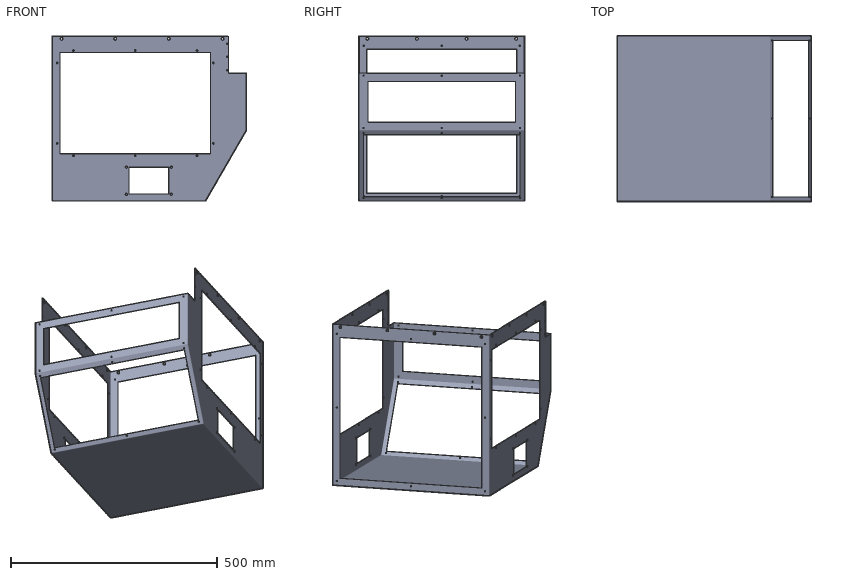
import cadquery as cq
import math

LENGTH = 471.5
WIDTH = 403.0
HEIGHT = 400.0

SHEET = 1.5
BEND_RADIUS = 2.25

REAR_HEIGHT = 310.2
REAR_FOLD_HEIGHT = 171.0
FLOOR_LENGTH = 372.5
NOTCH_LENGTH = 43.5
CORNER_RADIUS = 3.0

MOUNT_HOLE = 6.0
VENT_HOLE = 4.5
WINDOW_HOLE = 3.5
FRAME_HOLE = 2.5

WINDOW_LENGTH = 364.0
WINDOW_HEIGHT = 244.5
WINDOW_X = -34.0
WINDOW_Z = 237.5
WINDOW_HOLE_PITCH_X = 150.0
WINDOW_HOLE_PITCH_Z = 195.0
WINDOW_HOLE_SPAN_X = 378.5
WINDOW_HOLE_SPAN_Z = 255.0

VENT_LENGTH = 96.0
VENT_HEIGHT = 64.0
VENT_X = -1.0
VENT_Z = 49.5
VENT_HOLE_SPAN_X = 109.0
VENT_HOLE_SPAN_Z = 66.0

TOP_HOLE_DROP = 6.0
SIDE_TOP_PITCH = 130.0
SIDE_TOP_X = -17.5
FRONT_TOP_PITCH = 120.0
NOTCH_HOLE_PITCH = 32.0
NOTCH_HOLE_INSET = 3.5
NOTCH_HOLE_Z = 350.0

FRONT_SIDE_BORDER = 20.5
FRONT_WINDOW_BOTTOM = 19.5
FRONT_WINDOW_TOP = 368.2
FRAME_HOLE_SPAN_Y = 379.0
FRONT_HOLE_SPAN_Z = 365.0
FRONT_HOLE_Z = 194.3

REAR_BORDER = 20.5
REAR_SIDE_BORDER = 23.0
REAR_HOLE_INSET = 6.0

SLOPE_BORDER = 12.3
SLOPE_HOLE_INSET = 8.0

X_MIN = -LENGTH / 2
X_MAX = LENGTH / 2
FOLD_X = X_MIN + FLOOR_LENGTH
SLOPE_RUN = X_MAX - FOLD_X
SLOPE_LENGTH = math.hypot(SLOPE_RUN, REAR_FOLD_HEIGHT)
NOTCH_X = X_MAX - NOTCH_LENGTH
CUT_DEPTH = 2 * BEND_RADIUS


def centred_row(count, pitch, middle=0.0):
    """Evenly spaced positions around a middle."""
    return [middle + pitch * (i - (count - 1) / 2) for i in range(count)]


def grid(us, vs):
    """Every pairing of the two lists of positions."""
    return [(u, v) for u in us for v in vs]


def ring(span_u, span_v, middle_v=0.0):
    """Corner and mid-side points of a rectangle centred on u = 0."""
    points = grid(centred_row(3, span_u / 2), centred_row(3, span_v / 2, middle_v))
    return [p for p in points if p != (0, middle_v)]


def tray():
    """Folded open-topped box: filleted prism hollowed to the sheet thickness."""
    outline = [
        (X_MIN, 0),
        (FOLD_X, 0),
        (X_MAX, REAR_FOLD_HEIGHT),
        (X_MAX, HEIGHT),
        (X_MIN, HEIGHT),
    ]
    block = cq.Workplane("XZ").polyline(outline).close().extrude(WIDTH / 2, both=True)
    block = block.edges("not(>Z)").fillet(BEND_RADIUS)
    return block.faces(">Z").shell(-SHEET)


def rear_notch():
    """Volume that lowers the rear wall and steps down both side walls."""
    return (
        cq.Workplane("XY")
        .box(NOTCH_LENGTH, WIDTH, HEIGHT - REAR_HEIGHT, centered=(False, True, False))
        .translate((NOTCH_X, 0, REAR_HEIGHT))
    )


def punch_window(body, plane, centre, width, height, depth):
    """Cut a rectangular opening, reaching the given depth to both sides of the plane."""
    tool = cq.Workplane(plane).pushPoints([centre]).rect(width, height).extrude(depth, both=True)
    return body.cut(tool)


def punch_holes(body, plane, centres, diameter, depth):
    """Cut round holes, reaching the given depth to both sides of the plane."""
    tool = cq.Workplane(plane).pushPoints(centres).circle(diameter / 2).extrude(depth, both=True)
    return body.cut(tool)


def cross_plane(origin, normal):
    """Plane of a wall that runs across the box: u along Y, v up the wall."""
    return cq.Plane(origin=origin, xDir=(0, 1, 0), normal=normal)


def punch_sides(body):
    """Openings that pass through both side walls."""
    plane = cq.Plane.named("XZ")
    body = punch_window(body, plane, (WINDOW_X, WINDOW_Z), WINDOW_LENGTH, WINDOW_HEIGHT, WIDTH)
    body = punch_window(body, plane, (VENT_X, VENT_Z), VENT_LENGTH, VENT_HEIGHT, WIDTH)

    rail_holes = grid(
        centred_row(3, WINDOW_HOLE_PITCH_X, WINDOW_X), centred_row(2, WINDOW_HOLE_SPAN_Z, WINDOW_Z)
    )
    post_holes = grid(
        centred_row(2, WINDOW_HOLE_SPAN_X, WINDOW_X), centred_row(2, WINDOW_HOLE_PITCH_Z, WINDOW_Z)
    )
    vent_holes = grid(
        centred_row(2, VENT_HOLE_SPAN_X, VENT_X), centred_row(2, VENT_HOLE_SPAN_Z, VENT_Z)
    )
    top_holes = grid(centred_row(4, SIDE_TOP_PITCH, SIDE_TOP_X), [HEIGHT - TOP_HOLE_DROP])
    notch_holes = grid([NOTCH_X - NOTCH_HOLE_INSET], centred_row(3, NOTCH_HOLE_PITCH, NOTCH_HOLE_Z))
    body = punch_holes(body, plane, rail_holes + post_holes, WINDOW_HOLE, WIDTH)
    body = punch_holes(body, plane, vent_holes, VENT_HOLE, WIDTH)
    body = punch_holes(body, plane, top_holes, MOUNT_HOLE, WIDTH)
    return punch_holes(body, plane, notch_holes, FRAME_HOLE, WIDTH)


def punch_front(body):
    """Openings through the front wall at -X."""
    plane = cross_plane((X_MIN, 0, 0), (1, 0, 0))
    window_height = FRONT_WINDOW_TOP - FRONT_WINDOW_BOTTOM
    window_z = (FRONT_WINDOW_TOP + FRONT_WINDOW_BOTTOM) / 2
    frame_holes = ring(FRAME_HOLE_SPAN_Y, FRONT_HOLE_SPAN_Z, FRONT_HOLE_Z)
    top_holes = grid(centred_row(4, FRONT_TOP_PITCH), [HEIGHT - TOP_HOLE_DROP])
    body = punch_window(
        body, plane, (0, window_z), WIDTH - 2 * FRONT_SIDE_BORDER, window_height, CUT_DEPTH
    )
    body = punch_holes(body, plane, frame_holes, FRAME_HOLE, CUT_DEPTH)
    return punch_holes(body, plane, top_holes, MOUNT_HOLE, CUT_DEPTH)


def punch_rear(body):
    """Openings through the rear wall at +X."""
    plane = cross_plane((X_MAX, 0, 0), (1, 0, 0))
    window_height = REAR_HEIGHT - REAR_FOLD_HEIGHT - 2 * REAR_BORDER
    window_z = (REAR_HEIGHT + REAR_FOLD_HEIGHT) / 2
    hole_top = REAR_HEIGHT - REAR_HOLE_INSET
    hole_bottom = REAR_FOLD_HEIGHT + REAR_HOLE_INSET
    frame_holes = grid(centred_row(3, FRAME_HOLE_SPAN_Y / 2), [hole_bottom, hole_top])
    body = punch_window(
        body, plane, (0, window_z), WIDTH - 2 * REAR_SIDE_BORDER, window_height, CUT_DEPTH
    )
    return punch_holes(body, plane, frame_holes, FRAME_HOLE, CUT_DEPTH)


def punch_slope(body):
    """Openings through the sloping wall between the floor and the rear wall."""
    middle = ((FOLD_X + X_MAX) / 2, 0, REAR_FOLD_HEIGHT / 2)
    plane = cross_plane(middle, (REAR_FOLD_HEIGHT, 0, -SLOPE_RUN))
    frame_holes = grid(
        centred_row(3, FRAME_HOLE_SPAN_Y / 2), centred_row(2, SLOPE_LENGTH - 2 * SLOPE_HOLE_INSET)
    )
    body = punch_window(
        body, plane, (0, 0), WIDTH - 2 * SLOPE_BORDER, SLOPE_LENGTH - 2 * SLOPE_BORDER, CUT_DEPTH
    )
    return punch_holes(body, plane, frame_holes, FRAME_HOLE, CUT_DEPTH)


def round_notch_corners(body):
    """Round the top corner of each side wall above the notch."""
    reach = SHEET / 2
    corner = cq.selectors.BoxSelector(
        (NOTCH_X - reach, -WIDTH, HEIGHT - reach), (NOTCH_X + reach, WIDTH, HEIGHT + reach)
    )
    return body.edges("|Y").edges(corner).fillet(CORNER_RADIUS)


result = round_notch_corners(tray().cut(rear_notch()))
result = punch_sides(result)
result = punch_front(result)
result = punch_rear(result)
result = punch_slope(result)